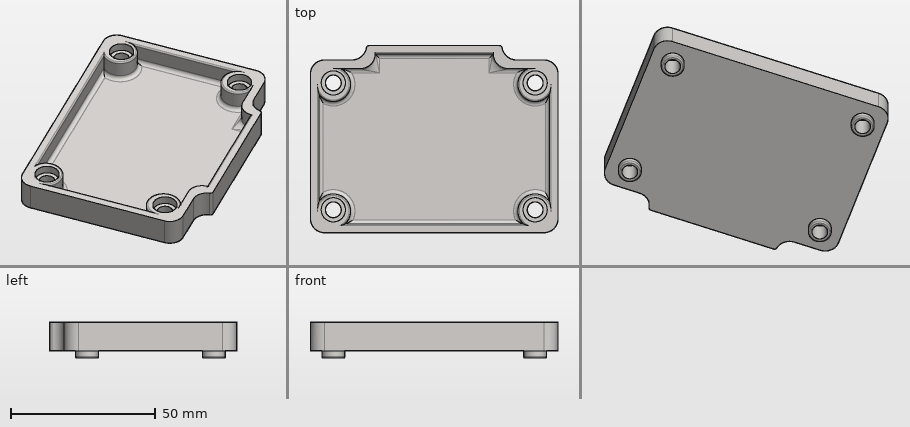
import cadquery as cq
import math

body_length = 86.0
body_width = 60.0
body_height = 10.0
corner_radius = 5.0

tab_width = 47.0
tab_depth = 5.0
tab_blend_radius = 5.0
tab_corner_radius = 1.0

wall = 3.0
floor_thickness = 2.5
floor_fillet = 1.5
rim_fillet = 0.5
shoulder_fillet = 4.99

hole_x = 35.0
hole_y = 22.0
hole_diameter = 5.4
counterbore_diameter = 8.4
counterbore_depth = 3.0
post_radius = 5.99
post_shift_y = -0.5
foot_diameter = 8.0
foot_height = 2.5
foot_edge_fillet = 0.5

half_width = body_width / 2
tab_y = half_width + tab_depth
inner_x = body_length / 2 - wall
inner_y = half_width - wall
inner_tab_x = tab_width / 2 - wall
inner_tab_y = tab_y - wall
cavity_depth = body_height - floor_thickness
hole_points = [(side_x * hole_x, side_y * hole_y) for side_x in (-1, 1) for side_y in (-1, 1)]


def make_body():
    """Solid block with rounded corners and a tab with S-shaped flanks."""
    block = (
        cq.Workplane("XY")
        .rect(body_length, body_width)
        .extrude(body_height)
        .edges("|Z")
        .fillet(corner_radius)
    )
    blend_x = tab_width / 2 + tab_blend_radius
    centre_gap = tab_blend_radius + tab_corner_radius
    corner_x = blend_x - math.sqrt(centre_gap**2 - tab_corner_radius**2)
    share = tab_blend_radius / centre_gap
    joint = (blend_x - share * (blend_x - corner_x), tab_y - share * tab_corner_radius)
    half_tab = (
        cq.Workplane("XY")
        .lineTo(blend_x, 0)
        .lineTo(blend_x, half_width)
        .radiusArc(joint, tab_blend_radius)
        .radiusArc((corner_x, tab_y), -tab_corner_radius)
        .lineTo(0, tab_y)
        .close()
        .extrude(body_height)
    )
    return block.union(half_tab).union(half_tab.mirror("YZ"))


def make_pocket(half_x, y_min, y_max):
    """Rectangular pocket with a rounded floor edge."""
    return (
        cq.Workplane("XY", origin=(0, (y_min + y_max) / 2, floor_thickness))
        .rect(2 * half_x, y_max - y_min)
        .extrude(cavity_depth)
        .faces("<Z")
        .edges()
        .fillet(floor_fillet)
    )


def edges_at(tray, points):
    """Edges of the tray nearest to the given points."""
    selection = tray.edges(cq.selectors.NearestToPointSelector(points[0]))
    for point in points[1:]:
        selection = selection.add(tray.edges(cq.selectors.NearestToPointSelector(point)))
    return selection


def round_cavity(tray):
    """Round the shoulders beside the tab, down to the floor, and the long rim edges."""
    wall_mid_z = (body_height + floor_thickness + floor_fillet) / 2
    shoulders = [(side * inner_tab_x, inner_y, wall_mid_z) for side in (-1, 1)]
    tray = edges_at(tray, shoulders).fillet(shoulder_fillet)
    rims = [
        (-inner_x, 0, body_height),
        (inner_x, 0, body_height),
        (0, -inner_y, body_height),
        (0, inner_tab_y, body_height),
    ]
    return edges_at(tray, rims).fillet(rim_fillet)


def make_post(x, y):
    """Round screw post with a flared base and rounded top edge, filled in toward its corner."""
    centre_y = y + post_shift_y
    arc_shift = floor_fillet * (1 - math.sqrt(0.5))
    post = (
        cq.Workplane("XZ")
        .lineTo(post_radius + floor_fillet, 0)
        .lineTo(post_radius + floor_fillet, floor_thickness)
        .threePointArc(
            (post_radius + arc_shift, floor_thickness + arc_shift),
            (post_radius, floor_thickness + floor_fillet),
        )
        .lineTo(post_radius, body_height)
        .lineTo(0, body_height)
        .close()
        .revolve()
        .faces(">Z")
        .edges()
        .fillet(rim_fillet)
        .translate((x, centre_y, 0))
    )
    fill_x = math.copysign(inner_x + rim_fillet, x)
    fill_y = math.copysign(inner_y + rim_fillet, y)
    fill = (
        cq.Workplane("XY")
        .moveTo(x, centre_y)
        .lineTo(fill_x, centre_y)
        .lineTo(fill_x, fill_y)
        .lineTo(x, fill_y)
        .close()
        .extrude(body_height)
    )
    reach = (
        cq.Workplane("XY")
        .rect(2 * (inner_x + rim_fillet), 2 * (inner_y + rim_fillet))
        .extrude(body_height)
    )
    return post.intersect(reach).union(fill)


def make_foot(x, y):
    """Short round foot under a screw post."""
    return (
        cq.Workplane("XY")
        .center(x, y)
        .circle(foot_diameter / 2)
        .extrude(-foot_height)
        .faces("<Z")
        .edges()
        .fillet(foot_edge_fillet)
    )


tray = make_body()
tray = tray.cut(make_pocket(inner_x, -inner_y, inner_y))
tray = tray.cut(make_pocket(inner_tab_x, 0, inner_tab_y))
tray = round_cavity(tray)

for hole_point in hole_points:
    tray = tray.union(make_post(*hole_point)).union(make_foot(*hole_point))

tray = tray.cut(
    cq.Workplane("XY", origin=(0, 0, -foot_height))
    .pushPoints(hole_points)
    .circle(hole_diameter / 2)
    .extrude(foot_height + body_height)
)
result = tray.cut(
    cq.Workplane("XY", origin=(0, 0, body_height))
    .pushPoints(hole_points)
    .circle(counterbore_diameter / 2)
    .extrude(-counterbore_depth)
)